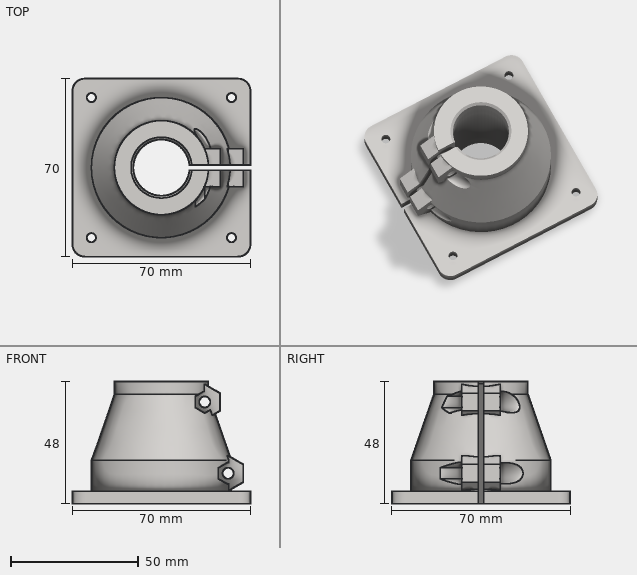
import cadquery as cq
import math

PLATE_SIDE = 70.0
PLATE_THICKNESS = 5.0
CORNER_RADIUS = 5.0
MOUNT_HOLE_DIAMETER = 3.5
MOUNT_HOLE_SPACING = 55.0

TOTAL_HEIGHT = 48.0
BASE_RADIUS = 27.5
NECK_RADIUS = 18.5
TAPER_START_Z = 17.0
TAPER_END_Z = 43.0
BORE_RADIUS = 11.0
BORE_CHAMFER = 1.0
SLIT_WIDTH = 2.0

LUG_CENTERS = [(17.0, 40.0), (26.2, 12.0)]
LUG_FLATS = 12.05
LUG_WIDTH = 15.0
BOLT_DIAMETER = 4.3
BOLT_HEAD_DIAMETER = 8.4
NUT_FLATS = 7.55


def y_prism(center, start_y, end_y):
    """Sketch plane at start_y, and the length to extrude toward -Y to reach end_y."""
    x, z = center
    plane = cq.Workplane("XZ", origin=(x, start_y, z))
    return plane, start_y - end_y


def y_hexagon(center, flats, start_y, end_y):
    """Hexagonal prism along Y with two flats facing +X and -X."""
    plane, length = y_prism(center, start_y, end_y)
    corner_diameter = flats / math.cos(math.pi / 6)
    return plane.transformed(rotate=(0, 0, 90)).polygon(6, corner_diameter).extrude(length)


def y_cylinder(center, diameter, start_y, end_y):
    plane, length = y_prism(center, start_y, end_y)
    return plane.circle(diameter / 2).extrude(length)


def make_plate():
    plate = cq.Workplane("XY").box(PLATE_SIDE, PLATE_SIDE, PLATE_THICKNESS, centered=(True, True, False))
    plate = plate.edges("|Z").fillet(CORNER_RADIUS)
    return (
        plate.faces(">Z").workplane()
        .rect(MOUNT_HOLE_SPACING, MOUNT_HOLE_SPACING, forConstruction=True)
        .vertices().hole(MOUNT_HOLE_DIAMETER)
    )


def make_sleeve():
    profile = [
        (0, 0),
        (BASE_RADIUS, 0),
        (BASE_RADIUS, TAPER_START_Z),
        (NECK_RADIUS, TAPER_END_Z),
        (NECK_RADIUS, TOTAL_HEIGHT),
        (0, TOTAL_HEIGHT),
    ]
    return cq.Workplane("XZ").polyline(profile).close().revolve(360, (0, 0), (0, 1))


def make_bore():
    bore = cq.Workplane("XY").circle(BORE_RADIUS).extrude(TOTAL_HEIGHT)
    mouth_radius = BORE_RADIUS + BORE_CHAMFER
    mouth = cq.Solid.makeCone(
        BORE_RADIUS, mouth_radius, BORE_CHAMFER, pnt=cq.Vector(0, 0, TOTAL_HEIGHT - BORE_CHAMFER)
    )
    return bore.union(cq.Workplane(obj=mouth))


def make_slit():
    return cq.Workplane("XY").box(PLATE_SIDE, SLIT_WIDTH, TOTAL_HEIGHT, centered=(False, True, False))


half_side = PLATE_SIDE / 2
half_lug = LUG_WIDTH / 2

sleeve = make_sleeve()
for lug_center in LUG_CENTERS:
    sleeve = sleeve.union(y_hexagon(lug_center, LUG_FLATS, half_lug, -half_lug))

for lug_center in LUG_CENTERS:
    sleeve = sleeve.cut(y_cylinder(lug_center, BOLT_DIAMETER, half_side, -half_side))
    sleeve = sleeve.cut(y_hexagon(lug_center, NUT_FLATS, -half_lug, -half_side))
    sleeve = sleeve.cut(y_cylinder(lug_center, BOLT_HEAD_DIAMETER, half_side, half_lug))

result = make_plate().union(sleeve).cut(make_bore()).cut(make_slit())